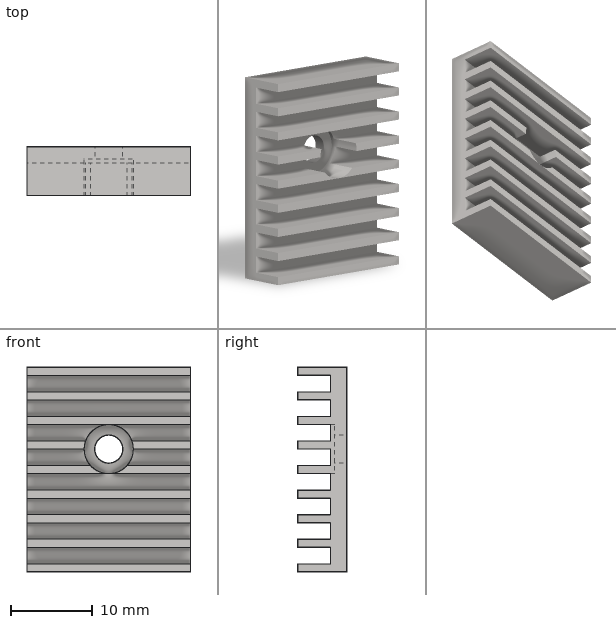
import cadquery as cq

width = 20
depth = 6
height = 25

base_thickness = 2
fin_count = 9
fin_thickness = 1
fin_pitch = (height - fin_thickness) / (fin_count - 1)
fin_length = depth - base_thickness

hole_diameter = 3.4
head_diameter = 6
head_recess = 0.5
hole_height = 15


def cylinder_along_y(diameter, length):
    """Cylinder on the screw axis, from the fin tips into the part."""
    return (
        cq.Workplane("XZ")
        .center(0, hole_height)
        .circle(diameter / 2)
        .extrude(-length)
    )


result = cq.Workplane("XY").box(width, base_thickness, height, centered=(True, False, False))
result = result.translate((0, fin_length, 0))

for index in range(fin_count):
    fin = cq.Workplane("XY").box(width, fin_length, fin_thickness, centered=(True, False, False))
    result = result.union(fin.translate((0, 0, index * fin_pitch)))

result = result.cut(cylinder_along_y(head_diameter, fin_length + head_recess))
result = result.cut(cylinder_along_y(hole_diameter, depth))